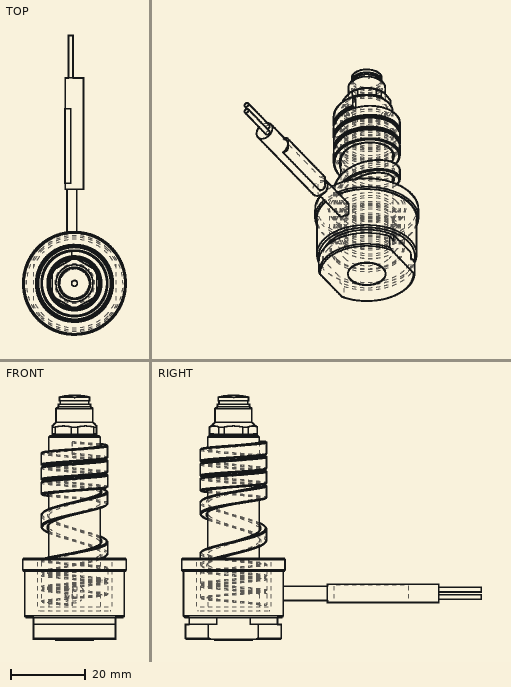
import cadquery as cq
import math

OVERLAP = 1.0

FLANGE_RADIUS = 14.0
BARREL_RADIUS = 13.5
NECK_RADIUS = 12.0
FOOT_RADIUS = 13.0
FLAT_WIDTH = 22.2
PAD_RADIUS = 5.1
PAD_HEIGHT = 0.2
FOOT_TOP = 4.3
BARREL_BOTTOM = 6.1
FLANGE_BOTTOM = 19.0
HOUSING_TOP = 22.2
HOUSING_CHAMFER = 0.4
BARREL_CHAMFER = 0.5
BORE_RADIUS = 10.1
BORE_STEP_RADIUS = 9.7
BORE_STEP = 9.0
BORE_FLOOR = 8.0

SHAFT_RADIUS = 7.0
SHAFT_TOP = 55.2
SHAFT_CHAMFER = 0.4
UNDERCUT_RADIUS = 5.4
HEX_BOTTOM = 55.7
HEX_TOP = 57.9
HEX_SIDES = 6
HEX_WIDTH = 12.0
HEX_CORNER_RADIUS = 6.5
HEX_CHAMFER = 0.3
SPIGOT_RADIUS = 5.0
SPIGOT_FLARE_TOP = 58.9
SPIGOT_TOP = 62.6
COLLAR_RADIUS = 4.35
COLLAR_BOTTOM = 63.1
COLLAR_TOP = 63.8
TIP_RADIUS = 4.1
TIP_GROOVE_RADIUS = 3.9
TIP_BOTTOM = 64.7
TIP_EDGE = 65.7
TIP_TOP = 66.22
DOME_RISE = TIP_TOP - TIP_EDGE
DOME_RADIUS = (TIP_RADIUS**2 + DOME_RISE**2) / (2 * DOME_RISE)
TIP_HOLE_RADIUS = 0.8
TIP_HOLE_DEPTH = 0.8

COIL_RADIUS = 9.0
COIL_ROOT_EMBED = 0.05
COIL_ROOT_RADIUS = SHAFT_RADIUS - COIL_ROOT_EMBED
COIL_HEIGHT = 3.5
COIL_CHAMFER = 0.3
COIL_ROOT_CHAMFER = 0.45
COIL_TOP_ANGLE = 95.0
COIL_TOP_Z = 52.0
CLOSE_PITCH = 3.95
OPENING_START = 3.02
OPENING_END = 4.82
OPENING_DROP = 13.2
COIL_TURNS = 7.0
POINTS_PER_TURN = 16

CABLE_Z = 12.67
CABLE_X = -0.7
CABLE_WIDTH = 2.7
CABLE_HEIGHT = 3.9
CABLE_CORNER = 0.5
CABLE_ROOT_Y = 12.0
SLEEVE_RADIUS = 2.5
SLEEVE_START_Y = 25.4
SLEEVE_END_Y = 55.5
SADDLE_START_Y = 27.1
SADDLE_END_Y = 47.2
SADDLE_DEPTH = 2.6
SADDLE_HEIGHT = 4.6
SADDLE_CORNER = 1.0
WIRE_DIAMETER = 1.3
WIRE_SPACING = 2.0
WIRE_X = -1.0
WIRE_END_Y = 67.0


def make_housing():
    """Turned housing with a bore around the shaft and two flats across X."""
    c = HOUSING_CHAMFER
    outline = [
        (0, 0),
        (PAD_RADIUS, 0),
        (PAD_RADIUS, PAD_HEIGHT),
        (FOOT_RADIUS - c, PAD_HEIGHT),
        (FOOT_RADIUS, PAD_HEIGHT + c),
        (FOOT_RADIUS, FOOT_TOP),
        (NECK_RADIUS, FOOT_TOP),
        (NECK_RADIUS, BARREL_BOTTOM),
        (BARREL_RADIUS - BARREL_CHAMFER, BARREL_BOTTOM),
        (BARREL_RADIUS, BARREL_BOTTOM + BARREL_CHAMFER),
        (BARREL_RADIUS, FLANGE_BOTTOM - c),
        (FLANGE_RADIUS - c, FLANGE_BOTTOM - c),
        (FLANGE_RADIUS, FLANGE_BOTTOM),
        (FLANGE_RADIUS, HOUSING_TOP - c),
        (FLANGE_RADIUS - c, HOUSING_TOP),
        (BORE_RADIUS + c, HOUSING_TOP),
        (BORE_RADIUS, HOUSING_TOP - c),
        (BORE_RADIUS, BORE_STEP),
        (BORE_STEP_RADIUS, BORE_STEP),
        (BORE_STEP_RADIUS, BORE_FLOOR),
        (0, BORE_FLOOR),
    ]
    body = cq.Workplane("XZ").polyline(outline).close().revolve(360, (0, 0), (0, 1))
    span = 2 * FLANGE_RADIUS
    beyond_flats = (
        cq.Workplane("XY")
        .rect(span, span)
        .rect(FLAT_WIDTH, span)
        .extrude(BARREL_BOTTOM)
    )
    return body.cut(beyond_flats)


def make_shaft():
    """Shaft and stepped spigot, ending in a domed tip."""
    return (
        cq.Workplane("XZ")
        .moveTo(0, BORE_FLOOR - OVERLAP)
        .lineTo(SHAFT_RADIUS, BORE_FLOOR - OVERLAP)
        .lineTo(SHAFT_RADIUS, SHAFT_TOP - SHAFT_CHAMFER)
        .lineTo(SHAFT_RADIUS - SHAFT_CHAMFER, SHAFT_TOP)
        .lineTo(UNDERCUT_RADIUS, SHAFT_TOP)
        .lineTo(UNDERCUT_RADIUS, HEX_TOP)
        .lineTo(HEX_WIDTH / 2, HEX_TOP)
        .lineTo(SPIGOT_RADIUS, SPIGOT_FLARE_TOP)
        .lineTo(SPIGOT_RADIUS, SPIGOT_TOP)
        .lineTo(COLLAR_RADIUS, COLLAR_BOTTOM)
        .lineTo(COLLAR_RADIUS, COLLAR_TOP)
        .lineTo(TIP_GROOVE_RADIUS, COLLAR_TOP)
        .lineTo(TIP_GROOVE_RADIUS, TIP_BOTTOM)
        .lineTo(TIP_RADIUS, TIP_BOTTOM)
        .lineTo(TIP_RADIUS, TIP_EDGE)
        .radiusArc((0, TIP_TOP), -DOME_RADIUS)
        .close()
        .revolve(360, (0, 0), (0, 1))
    )


def make_hexagon():
    """Hexagon with corners towards +Y and -Y, rounded and chamfered by turning."""
    height = HEX_TOP - HEX_BOTTOM
    prism = (
        cq.Workplane("XY", origin=(0, 0, HEX_BOTTOM))
        .polygon(HEX_SIDES, HEX_WIDTH / math.cos(math.pi / HEX_SIDES))
        .extrude(height)
        .rotate((0, 0, 0), (0, 0, 1), 180 / HEX_SIDES)
    )
    turned = (
        cq.Workplane("XY", origin=(0, 0, HEX_BOTTOM))
        .circle(HEX_CORNER_RADIUS)
        .extrude(height)
        .faces(">Z")
        .chamfer(HEX_CHAMFER, HEX_CORNER_RADIUS - HEX_WIDTH / 2)
    )
    return prism.intersect(turned)


def make_tip_hole():
    """Conical centre hole in the domed tip."""
    floor = cq.Vector(0, 0, TIP_TOP - TIP_HOLE_DEPTH)
    return cq.Workplane(cq.Solid.makeCone(0, TIP_HOLE_RADIUS, TIP_HOLE_DEPTH, pnt=floor))


def coil_centre_z(turns):
    """Mid-height a number of turns below the top end: even pitch plus one smooth opening."""
    progress = (turns - OPENING_START) / (OPENING_END - OPENING_START)
    progress = min(max(progress, 0), 1)
    smooth_step = progress**2 * (3 - 2 * progress)
    return COIL_TOP_Z - CLOSE_PITCH * turns - OPENING_DROP * smooth_step


def coil_edge(radius, offset):
    """Spiral edge of the coil at a radius and a height above its centre line."""
    points = []
    for step in range(round(COIL_TURNS * POINTS_PER_TURN) + 1):
        turns = step / POINTS_PER_TURN
        angle = math.radians(COIL_TOP_ANGLE) - 2 * math.pi * turns
        x = radius * math.cos(angle)
        y = radius * math.sin(angle)
        points.append(cq.Vector(x, y, coil_centre_z(turns) + offset))
    return cq.Edge.makeSpline(points)


def make_coil():
    """Right-handed band with chamfered corners, skinned between its spiral edges."""
    half = COIL_HEIGHT / 2
    shoulder = COIL_RADIUS - COIL_CHAMFER
    root_shoulder = COIL_ROOT_RADIUS + COIL_ROOT_CHAMFER
    section = [
        (COIL_ROOT_RADIUS, COIL_ROOT_CHAMFER - half),
        (root_shoulder, -half),
        (shoulder, -half),
        (COIL_RADIUS, COIL_CHAMFER - half),
        (COIL_RADIUS, half - COIL_CHAMFER),
        (shoulder, half),
        (root_shoulder, half),
        (COIL_ROOT_RADIUS, half - COIL_ROOT_CHAMFER),
    ]
    edges = [coil_edge(radius, offset) for radius, offset in section]
    faces = [cq.Face.makeRuledSurface(edges[i - 1], edges[i]) for i in range(len(edges))]
    for end in (0, 1):
        corners = [edge.positionAt(end) for edge in edges]
        faces.append(cq.Face.makeFromWires(cq.Wire.makePolygon(corners, close=True)))
    solid = cq.Solid.makeSolid(cq.Shell.makeShell(faces))
    return cq.Workplane(solid.fix())


def along_y(start_y, x=0.0, z=CABLE_Z):
    """Workplane facing +Y whose local x is -X and local y is Z."""
    return cq.Workplane(cq.Plane(origin=(x, start_y, z), xDir=(-1, 0, 0), normal=(0, 1, 0)))


def make_cable():
    """Flat cable, splice sleeve with a saddle on its -X side, and two wires."""
    cable = (
        along_y(CABLE_ROOT_Y, CABLE_X)
        .rect(CABLE_WIDTH, CABLE_HEIGHT)
        .extrude(SLEEVE_START_Y - CABLE_ROOT_Y)
        .edges("|Y")
        .fillet(CABLE_CORNER)
    )
    sleeve = along_y(SLEEVE_START_Y).circle(SLEEVE_RADIUS).extrude(SLEEVE_END_Y - SLEEVE_START_Y)
    saddle = (
        along_y(SADDLE_START_Y, -SADDLE_DEPTH / 2)
        .rect(SADDLE_DEPTH, SADDLE_HEIGHT)
        .extrude(SADDLE_END_Y - SADDLE_START_Y)
        .edges("|Y and <X")
        .fillet(SADDLE_CORNER)
    )
    wires = (
        along_y(SLEEVE_END_Y - OVERLAP, WIRE_X)
        .pushPoints([(0, -WIRE_SPACING / 2), (0, WIRE_SPACING / 2)])
        .circle(WIRE_DIAMETER / 2)
        .extrude(WIRE_END_Y - SLEEVE_END_Y + OVERLAP)
    )
    return cable.union(sleeve).union(saddle).union(wires)


result = (
    make_housing()
    .union(make_shaft())
    .union(make_hexagon())
    .cut(make_tip_hole())
    .union(make_cable())
    .union(make_coil())
)